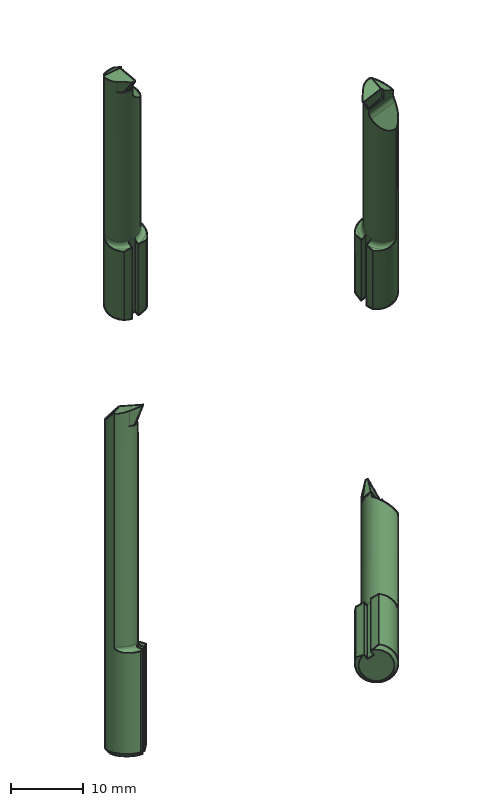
import cadquery as cq
import math

length = 50.0
shank_radius = 3.0
shank_length = 15.05
flat_x = 2.35
end_chamfer = 0.55

neck_edge_x = 1.55
neck_radius = 2.75
neck_x = neck_edge_x - neck_radius
neck_fillet = 0.75

groove_width = 1.05

rake_y = 0.15
gullet_start_z = 46.45
gullet_angle = 41.0
gullet_radius = 1.5
bevel_drop = 2.35
top_slope_x = 0.1
top_slope_y = 0.15
tip_tangent_angle = 45.0
flank_slope = 0.38
tip_root_z = 47.35
chip_step_x = -1.2
chip_step_y = -0.2
chip_tip_y = 0.05

margin = 5.0


def make_neck_space():
    """Ring to remove around the neck, with a concave fillet at its foot."""
    outer = neck_radius + 2 * shank_radius
    foot_x = neck_radius + neck_fillet
    fillet_top = shank_length + neck_fillet
    diagonal = neck_fillet * math.sqrt(0.5)
    profile = (
        cq.Workplane("XZ")
        .moveTo(neck_radius, length + margin)
        .lineTo(neck_radius, fillet_top)
        .threePointArc((foot_x - diagonal, fillet_top - diagonal), (foot_x, shank_length))
        .lineTo(outer, shank_length)
        .lineTo(outer, length + margin)
        .close()
    )
    return profile.revolve(360, (0, 0, 0), (0, 1, 0)).translate((neck_x, 0, 0))


def make_bar():
    bar = cq.Workplane("XY").circle(shank_radius).extrude(length)
    bar = bar.faces("<Z").chamfer(end_chamfer)
    flat_cut = cq.Workplane("XY").box(margin, 4 * margin, 2 * length)
    flat_cut = flat_cut.translate((flat_x + margin / 2, 0, length / 2))
    return bar.cut(flat_cut).cut(make_neck_space())


def make_tip():
    """Cutting point, tangent to the neck and undercut on its +X flank."""
    angle = math.radians(tip_tangent_angle)
    tangent_x = neck_x + neck_radius * math.cos(angle)
    tangent_y = -neck_radius * math.sin(angle)
    flat_y = tangent_y + (flat_x - tangent_x) / math.tan(angle)
    outline = [
        (neck_x, rake_y),
        (neck_x, tangent_y),
        (tangent_x, tangent_y),
        (flat_x, flat_y),
        (flat_x, rake_y),
    ]
    tip_height = length - tip_root_z
    return cq.Workplane("XY").workplane(offset=tip_root_z).polyline(outline).close().extrude(tip_height)


def make_flank_cut():
    root_x = flat_x - flank_slope * (length - tip_root_z)
    outline = [
        (root_x, tip_root_z),
        (flat_x, length),
        (flat_x + margin, length),
        (flat_x + margin, tip_root_z),
    ]
    return cq.Workplane("XZ").polyline(outline).close().extrude(margin, both=True)


def make_gullet():
    """Space behind the rake face, rounded into a slope that runs out at +Y."""
    angle = math.radians(gullet_angle)
    arc_y = rake_y + gullet_radius
    half_point = (
        arc_y - gullet_radius * math.cos(angle / 2),
        gullet_start_z - gullet_radius * math.sin(angle / 2),
    )
    arc_end = (
        arc_y - gullet_radius * math.cos(angle),
        gullet_start_z - gullet_radius * math.sin(angle),
    )
    runout_z = arc_end[1] - margin / math.tan(angle)
    return (
        cq.Workplane("YZ")
        .moveTo(rake_y, length + margin)
        .lineTo(rake_y, gullet_start_z)
        .threePointArc(half_point, arc_end)
        .lineTo(arc_end[0] + margin, runout_z)
        .lineTo(arc_end[0] + margin, length + margin)
        .close()
        .extrude(margin, both=True)
    )


def make_top_cut():
    """Space above the end face, which falls away from the tip toward -X and -Y."""
    normal = (-top_slope_x, -top_slope_y, 1)
    plane = cq.Plane(origin=(flat_x, 0, length), xDir=(1, 0, top_slope_x), normal=normal)
    return cq.Workplane(plane).rect(4 * margin, 4 * margin).extrude(margin)


def make_bevel_cut():
    bevel_z = length - bevel_drop
    outline = [
        (-shank_radius - margin, bevel_z - margin),
        (-shank_radius + margin, bevel_z + margin),
        (-shank_radius - margin, bevel_z + margin),
    ]
    return cq.Workplane("XZ").polyline(outline).close().extrude(margin, both=True)


def make_chip_step():
    """Shallow step in the rake face, deepest at its -X end."""
    outline = [
        (chip_step_x, rake_y),
        (chip_step_x, chip_step_y),
        (flat_x, chip_tip_y),
        (flat_x, rake_y),
    ]
    return cq.Workplane("XY").workplane(offset=tip_root_z).polyline(outline).close().extrude(margin)


def make_coolant_groove():
    groove_length = shank_length + neck_fillet
    return cq.Workplane("XY").box(
        margin, groove_width, groove_length, centered=(False, True, False)
    ).translate((neck_edge_x, 0, 0))


result = make_bar().union(make_tip())
for cutter in (
    make_flank_cut(),
    make_gullet(),
    make_top_cut(),
    make_bevel_cut(),
    make_chip_step(),
    make_coolant_groove(),
):
    result = result.cut(cutter)